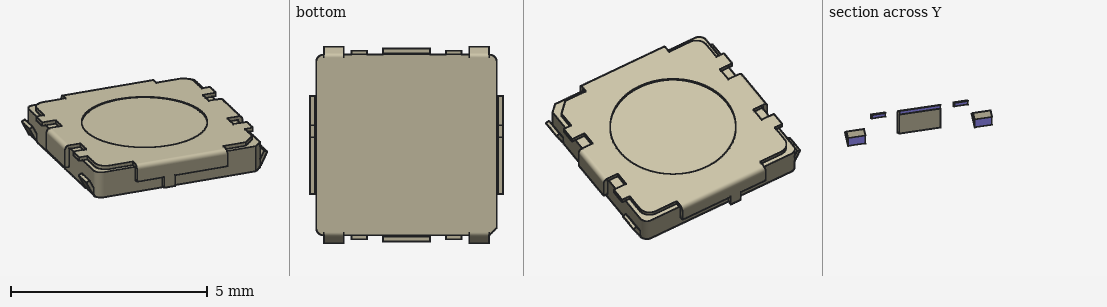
import cadquery as cq
import math

base_side = 4.6
base_height = 0.7
base_corner = 0.2

cover_side = 4.35
cover_thickness = 0.1
cover_corner = 0.3
total_height = base_height + cover_thickness

skirt_half_span = 2.455
skirt_thickness = 0.12
side_skirt_width = 2.5
side_skirt_bottom = 0.35
end_skirt_width = 1.2
end_skirt_bottom = 0.2

tongue_width = 0.3
tongue_center_y = -0.35
tongue_bottom = 0.05

lug_inner_x = 1.0
lug_width = 0.4
lug_half_span = 2.4
notch_half_span = 2.03

button_diameter = 3.2
button_edge_radius = 0.05

terminal_outer_x = 2.1
terminal_width = 0.51
terminal_half_span = 2.5
terminal_bend_start = 2.225
terminal_bend_radius = 0.12
terminal_angle = math.radians(63)
terminal_thickness = 0.1
terminal_bend_height = terminal_bend_radius * (1 - math.cos(terminal_angle))


def block(x_range, y_range, z_range):
    """Axis-aligned box given by its limits."""
    size = [high - low for low, high in (x_range, y_range, z_range)]
    return cq.Workplane("XY").box(*size, centered=False).translate((x_range[0], y_range[0], z_range[0]))


def keyed_plate(side, corner, bottom, thickness):
    """Square plate with three rounded corners and a chamfered +X +Y corner."""
    plate = cq.Workplane("XY").workplane(offset=bottom).rect(side, side).extrude(thickness)
    plate = plate.edges("(|Z and <X) or (|Z and <Y)").fillet(corner)
    return plate.edges("|Z").edges(">(1, 1, 0)").chamfer(corner)


def both_sides(shape, plane):
    """The shape together with its mirror image."""
    return shape.union(shape.mirror(plane))


def folded_skirt(width, bottom):
    """Cover strip running out along +X and folded down over a rounded outer bend."""
    inner_face = skirt_half_span - skirt_thickness
    profile = (
        cq.Workplane("XZ")
        .moveTo(0, base_height)
        .lineTo(0, total_height)
        .lineTo(inner_face, total_height)
        .radiusArc((skirt_half_span, total_height - skirt_thickness), skirt_thickness)
        .lineTo(skirt_half_span, bottom)
        .lineTo(inner_face, bottom)
        .lineTo(inner_face, base_height)
        .close()
    )
    return profile.extrude(width / 2, both=True)


def make_terminal():
    """Terminal at +X +Y, sloping outward from a bend at the bottom of the base."""
    slope = math.tan(terminal_angle)
    bend_end = (
        terminal_bend_start + terminal_bend_radius * math.sin(terminal_angle),
        terminal_bend_height,
    )
    tip_outer = (terminal_half_span, terminal_bend_height + (terminal_half_span - bend_end[0]) * slope)
    tip_inner = (
        tip_outer[0] - terminal_thickness * math.sin(terminal_angle),
        tip_outer[1] + terminal_thickness * math.cos(terminal_angle),
    )
    root_z = tip_inner[1] - (tip_inner[0] - terminal_bend_start) * slope
    profile = (
        cq.Workplane("YZ")
        .workplane(offset=terminal_outer_x - terminal_width)
        .moveTo(terminal_bend_start, 0)
        .radiusArc(bend_end, -terminal_bend_radius)
        .lineTo(*tip_outer)
        .lineTo(*tip_inner)
        .lineTo(terminal_bend_start, root_z)
        .close()
    )
    return profile.extrude(terminal_width)


def make_terminal_seat():
    """Clearance in the bottom edge of the base that exposes the terminal bend."""
    return block(
        (terminal_outer_x - terminal_width, terminal_outer_x),
        (terminal_bend_start, base_side / 2),
        (0, terminal_bend_height),
    )


def make_cover():
    """Plate with lugs, relief notches, folded skirts and tongues."""
    cover = keyed_plate(cover_side, cover_corner, base_height, cover_thickness)
    cover_z = (base_height, total_height)

    notch = block((end_skirt_width / 2, lug_inner_x), (notch_half_span, cover_side), cover_z)
    cover = cover.cut(both_sides(both_sides(notch, "YZ"), "XZ"))

    lug = block((lug_inner_x, lug_inner_x + lug_width), (notch_half_span, lug_half_span), cover_z)
    cover = cover.union(both_sides(both_sides(lug, "YZ"), "XZ"))

    tongue = block(
        (skirt_half_span - skirt_thickness, skirt_half_span),
        (tongue_center_y - tongue_width / 2, tongue_center_y + tongue_width / 2),
        (tongue_bottom, side_skirt_bottom),
    )
    side_skirt = folded_skirt(side_skirt_width, side_skirt_bottom).union(tongue)
    end_skirt = folded_skirt(end_skirt_width, end_skirt_bottom).rotate((0, 0, 0), (0, 0, 1), 90)
    return cover.union(both_sides(side_skirt, "YZ")).union(both_sides(end_skirt, "XZ"))


def make_button_groove():
    """Ring between the straight cover opening and the rounded button edge."""
    radius = button_diameter / 2
    profile = (
        cq.Workplane("XZ")
        .moveTo(radius, total_height)
        .lineTo(radius, total_height - button_edge_radius)
        .radiusArc((radius - button_edge_radius, total_height), -button_edge_radius)
        .close()
    )
    return profile.revolve(360, (0, 0, 0), (0, 1, 0))


base = keyed_plate(base_side, base_corner, 0, base_height)
base = base.cut(both_sides(both_sides(make_terminal_seat(), "YZ"), "XZ"))
terminals = both_sides(both_sides(make_terminal(), "YZ"), "XZ")
result = base.union(terminals).union(make_cover()).cut(make_button_groove())